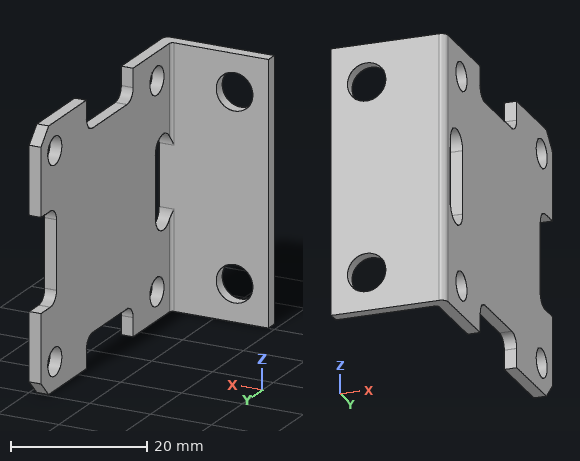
import cadquery as cq

length = 44.0
height = 42.0
flange_width = 18.0
thickness = 2.0
inner_bend_radius = 0.5
outer_bend_radius = 1.0

corner_chamfer = 2.5
notch_width = 15.0
notch_depth = 5.0
notch_radius = 2.0
side_notch_y = 21.75
plate_hole_diameter = 4.5
plate_hole_spacing = 33.0
plate_hole_edge_gap = 4.5
slot_length = 15.0
slot_width = 5.0

flange_hole_diameter = 6.0
flange_hole_spacing = 30.0
flange_hole_edge_gap = 5.6


def make_bent_sheet():
    """L-shaped section extruded over the full height, rounded at the bend."""
    sheet = (
        cq.Workplane("XY")
        .workplane(offset=-height / 2)
        .moveTo(0, 0)
        .lineTo(flange_width, 0)
        .lineTo(flange_width, length)
        .lineTo(flange_width - thickness, length)
        .lineTo(flange_width - thickness, thickness)
        .lineTo(0, thickness)
        .close()
        .extrude(height)
    )
    inner_corner = cq.NearestToPointSelector((flange_width - thickness, thickness, 0))
    outer_corner = cq.NearestToPointSelector((flange_width, 0, 0))
    sheet = sheet.edges("|Z").edges(inner_corner).fillet(inner_bend_radius)
    return sheet.edges("|Z").edges(outer_corner).fillet(outer_bend_radius)


def plate_face():
    """Workplane on the inner face of the plate: local x is Y, local y is Z."""
    return cq.Workplane("YZ", origin=(flange_width - thickness, 0, 0))


def make_notch(y, z, size_y, size_z):
    """Cutter centred on a plate edge, so half of it lies outside the plate."""
    notch = plate_face().center(y, z).rect(size_y, size_z).extrude(thickness)
    return notch.edges("|X").fillet(notch_radius)


bracket = make_bent_sheet()

bracket = bracket.faces(">Y").edges("|X").chamfer(corner_chamfer)

for side in (-1, 1):
    bracket = bracket.cut(make_notch(side_notch_y, side * height / 2, notch_width, 2 * notch_depth))
bracket = bracket.cut(make_notch(length, 0, 2 * notch_depth, notch_width))

plate_holes = (
    plate_face()
    .center(length - plate_hole_edge_gap - plate_hole_spacing / 2, 0)
    .rarray(plate_hole_spacing, plate_hole_spacing, 2, 2)
    .circle(plate_hole_diameter / 2)
    .extrude(thickness)
)
bracket = bracket.cut(plate_holes)

slot = (
    plate_face()
    .center(thickness + slot_width / 2, 0)
    .slot2D(slot_length, slot_width, 90)
    .extrude(thickness, both=True)
)
bracket = bracket.cut(slot)

flange_holes = (
    cq.Workplane("XZ")
    .center(flange_hole_edge_gap, 0)
    .rarray(0.45, flange_hole_spacing, 1, 2)
    .circle(flange_hole_diameter / 2)
    .extrude(-thickness)
)
result = bracket.cut(flange_holes)